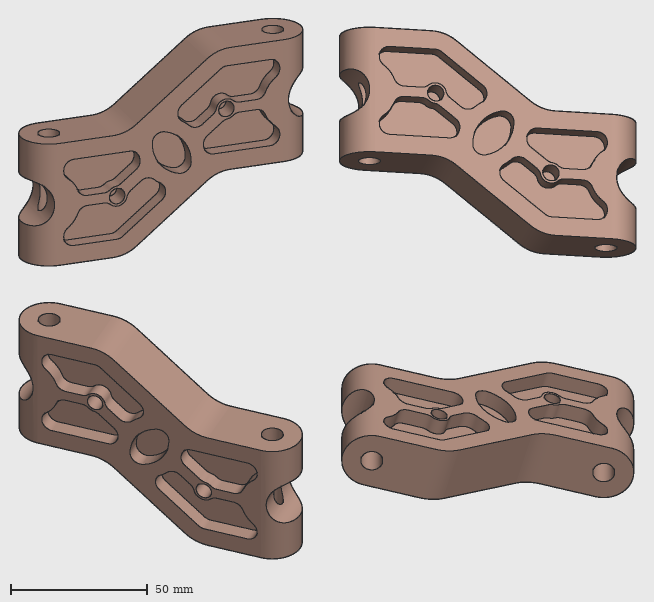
import cadquery as cq
import math

LENGTH = 110.0
HEIGHT = 76.0
THICKNESS = 22.0
ARM_HEIGHT = 48.0
BEND_Y = 17.9
BEND_RADIUS = 15.0

BOLT_HOLE_DIAMETER = 8.0
GROOVE_RADIUS = 9.0

RECESS_DEPTH = 6.0
CORNER_RADIUS = 4.0
POCKET_WALL = 7.0
POCKET_END_Y = 42.5
RIB_WIDTH = 4.0
SLOPED_RIB_WIDTH = 5.0
SLOPED_RIB_Y = 22.0
WAIST_RADIUS = 12.1
WAIST_Y = 48.1
PIN_HOLE_DIAMETER = 6.0
PIN_HOLE_DEPTH = 8.0
PIN_HOLE_Y = 21.5
PIN_BOSS_RADIUS = 4.0

LENS_ARC_RADIUS = 13.6
LENS_HALF_WIDTH = 6.0
LENS_WALL = 5.6

TOP_Z = HEIGHT / 2
ARM_BOTTOM_Z = TOP_Z - ARM_HEIGHT
ARM_MID_Z = TOP_Z - ARM_HEIGHT / 2
END_RADIUS = THICKNESS / 2
BOLT_Y = LENGTH / 2 - END_RADIUS
SLOPE = (HEIGHT - ARM_HEIGHT) / (2 * BEND_Y)
SLOPE_ANGLE = math.atan(SLOPE)
LENS_ARC_OFFSET = LENS_ARC_RADIUS - LENS_HALF_WIDTH
LENS_ARC_Y = -LENS_ARC_OFFSET * math.cos(SLOPE_ANGLE)
LENS_ARC_Z = -LENS_ARC_OFFSET * math.sin(SLOPE_ANGLE)


def side_plane():
    """Workplane on the -X side face, facing into the part."""
    return cq.Workplane("YZ", origin=(-THICKNESS / 2, 0, 0))


def side_cylinder(y, z, radius, depth=RECESS_DEPTH):
    return side_plane().center(y, z).circle(radius).extrude(depth)


def half_turn(shape):
    """Copy of a shape for the opposite arm."""
    return shape.rotate((0, 0, 0), (1, 0, 0), 180)


def raised_line(y, z, offset):
    """Line of the web's slope, moved squarely up by an offset from the point (y, z).

    Returns functions for its height at a given y and its y at a given height.
    """
    base_z = z + offset / math.cos(SLOPE_ANGLE) - SLOPE * y
    return (lambda at_y: base_z + SLOPE * at_y), (lambda at_z: (at_z - base_z) / SLOPE)


def make_body():
    half = LENGTH / 2
    outline = [
        (half, TOP_Z),
        (BEND_Y, TOP_Z),
        (-BEND_Y, -ARM_BOTTOM_Z),
        (-half, -ARM_BOTTOM_Z),
        (-half, -TOP_Z),
        (-BEND_Y, -TOP_Z),
        (BEND_Y, ARM_BOTTOM_Z),
        (half, ARM_BOTTOM_Z),
    ]
    body = side_plane().polyline(outline).close().extrude(THICKNESS)
    between_bolts = cq.selectors.BoxSelector((-THICKNESS, -BOLT_Y, -HEIGHT), (THICKNESS, BOLT_Y, HEIGHT))
    body = body.edges("|X").edges(between_bolts).fillet(BEND_RADIUS)
    round_ends = cq.Workplane("XY").slot2D(LENGTH, THICKNESS, 90).extrude(HEIGHT / 2, both=True)
    return body.intersect(round_ends)


def make_end_cuts():
    """Vertical bolt hole and cross groove of the +Y arm."""
    bolt_hole = (
        cq.Workplane("XY").center(0, BOLT_Y).circle(BOLT_HOLE_DIAMETER / 2).extrude(HEIGHT, both=True)
    )
    return bolt_hole.union(side_cylinder(LENGTH / 2, ARM_MID_Z, GROOVE_RADIUS, THICKNESS))


def finish_pocket(points):
    """Pocket from a sharp outline, trimmed round the groove, pin hole and lens, then rounded."""
    pocket = side_plane().polyline(points).close().extrude(RECESS_DEPTH)
    pocket = pocket.cut(side_cylinder(WAIST_Y, ARM_MID_Z, WAIST_RADIUS))
    pocket = pocket.cut(side_cylinder(PIN_HOLE_Y, ARM_MID_Z, PIN_BOSS_RADIUS))
    pocket = pocket.cut(side_cylinder(LENS_ARC_Y, LENS_ARC_Z, LENS_ARC_RADIUS + LENS_WALL))
    return pocket.edges("|X").fillet(CORNER_RADIUS)


def make_upper_pocket():
    """Pocket above the rib; it follows the arm and then the slope towards the lens."""
    top_z = TOP_Z - POCKET_WALL
    rib_z = ARM_MID_Z + RIB_WIDTH / 2
    outer_z_at, outer_y_at = raised_line(BEND_Y, TOP_Z, -POCKET_WALL)
    rib_z_at, rib_y_at = raised_line(SLOPED_RIB_Y, ARM_MID_Z, SLOPED_RIB_WIDTH / 2)
    inner_y = LENS_ARC_Y / 2
    return finish_pocket([
        (POCKET_END_Y, top_z),
        (outer_y_at(top_z), top_z),
        (inner_y, outer_z_at(inner_y)),
        (inner_y, rib_z_at(inner_y)),
        (rib_y_at(rib_z), rib_z),
        (POCKET_END_Y, rib_z),
    ])


def make_lower_pocket():
    """Pocket below the rib, closing to a point where the slope meets its floor."""
    bottom_z = ARM_BOTTOM_Z + POCKET_WALL
    rib_z = ARM_MID_Z - RIB_WIDTH / 2
    _, rib_y_at = raised_line(SLOPED_RIB_Y, ARM_MID_Z, -SLOPED_RIB_WIDTH / 2)
    return finish_pocket([
        (POCKET_END_Y, rib_z),
        (rib_y_at(rib_z), rib_z),
        (rib_y_at(bottom_z), bottom_z),
        (POCKET_END_Y, bottom_z),
    ])


def make_lens():
    lens = side_cylinder(LENS_ARC_Y, LENS_ARC_Z, LENS_ARC_RADIUS)
    lens = lens.intersect(side_cylinder(-LENS_ARC_Y, -LENS_ARC_Z, LENS_ARC_RADIUS))
    return lens.edges("|X").fillet(CORNER_RADIUS)


result = make_body()
ends = make_end_cuts()
result = result.cut(ends).cut(half_turn(ends))

recesses = [
    make_upper_pocket(),
    make_lower_pocket(),
    side_cylinder(PIN_HOLE_Y, ARM_MID_Z, PIN_HOLE_DIAMETER / 2, PIN_HOLE_DEPTH),
]
lens = make_lens()
for recess in recesses + [half_turn(shape) for shape in recesses] + [lens]:
    result = result.cut(recess).cut(recess.mirror("YZ"))